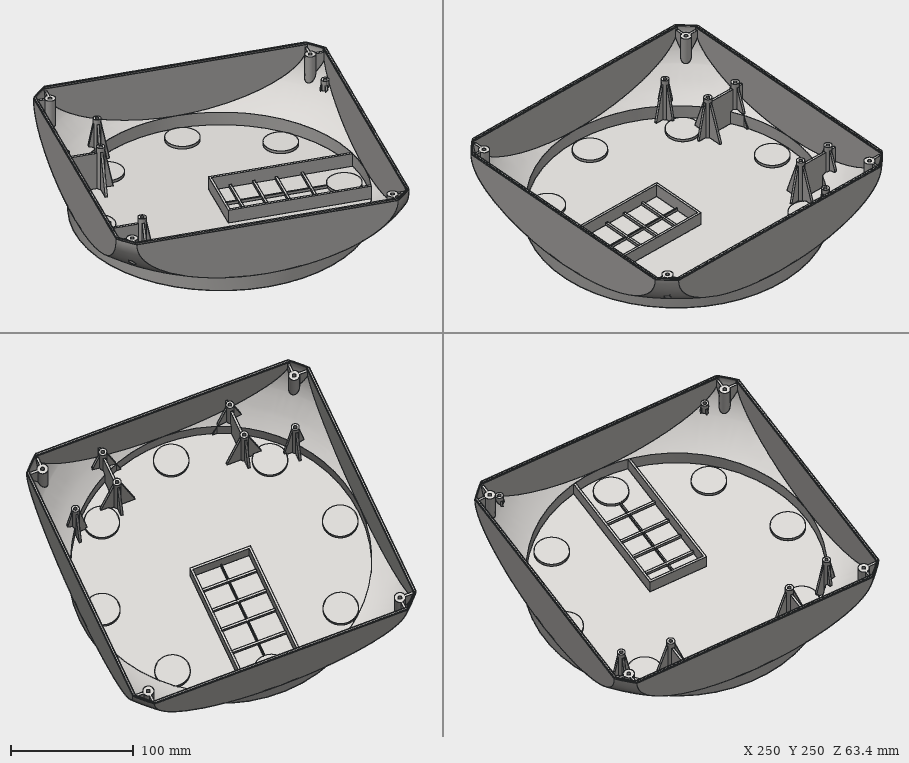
import cadquery as cq
import math

side = 250.0
half_side = side / 2
height = 63.4
wall = 2.5
floor_top = 2.5
foot_height = 13.1
dome_rim_radius = 167.5
dome_slope = math.radians(27)
corner_wall = 1.25

rim_height = 1.4
rim_inset = 0.4
rim_base = height - rim_height

pad_diameter = 29.0
pad_circle_radius = 105.0
pad_count = 8
pad_top = floor_top + 2.5

tray_half_width = 26.75
tray_front_y = -2.4
tray_wall = 2.0
tray_top = floor_top + 12.1
tray_rib_top = pad_top
tray_rib_width = 2.0
tray_rib_ys = (77.0, 54.7, 35.5, 15.4)
tray_spine_width = 1.2

corner_boss_place = 111.0
corner_boss_diameter = 9.2
corner_boss_top = 60.0
corner_hole_diameter = 3.0
corner_bore_diameter = 6.0
corner_bore_top = 45.0
corner_rib_width = 2.0

outer_boss_x = 97.0
outer_boss_ys = (119.3, -75.3)
outer_boss_diameter = 6.4
outer_boss_top = 42.5
outer_rib_reach = 10.5
outer_rib_top = 38.0

inner_boss_x = 56.1
inner_boss_back_y = -85.2
inner_boss_front_y = -115.2
inner_boss_diameter = 6.8
inner_boss_top = 42.0
inner_side_reach = 15.6
inner_back_reach = 10.6
inner_rib_top = 38.0
link_rib_top = 36.5

boss_hole_diameter = 2.8
boss_hole_depth = 6.0
boss_rib_width = 2.0


def block(x_min, x_max, y_min, y_max, z_min, z_max):
    """Box between the given limits."""
    box = cq.Workplane("XY").box(x_max - x_min, y_max - y_min, z_max - z_min, centered=False)
    return box.translate((x_min, y_min, z_min))


def square_block(half_width, z_min, z_max):
    """Square box centred on the Z axis."""
    return block(-half_width, half_width, -half_width, half_width, z_min, z_max)


def cylinder(x, y, diameter, z_min, z_max):
    """Upright cylinder between two heights."""
    return cq.Workplane("XY", origin=(x, y, z_min)).circle(diameter / 2).extrude(z_max - z_min)


def domed_body(foot_radius, rim_radius, bottom, shoulder):
    """Round foot up to `shoulder`, then a dome to the rim, cut square at the foot radius."""
    dome_start = (foot_radius, shoulder)
    dome_end = (rim_radius, rim_base)
    bend = (rim_radius, shoulder + (rim_radius - foot_radius) * math.tan(dome_slope))
    dome = (
        cq.Workplane("XZ")
        .moveTo(0, bottom)
        .lineTo(foot_radius, bottom)
        .lineTo(*dome_start)
        .bezier([dome_start, bend, dome_end])
        .lineTo(rim_radius, height)
        .lineTo(0, height)
        .close()
        .revolve(360, (0, 0, 0), (0, 1, 0))
    )
    return dome.intersect(square_block(foot_radius, bottom, height))


def make_shell(outer_body):
    """Hollow the body and set the rim back into a tongue."""
    cavity_half_side = half_side - wall
    cavity_rim_radius = dome_rim_radius - corner_wall
    cavity_shoulder = foot_height + wall * (1 - math.sin(dome_slope)) / math.cos(dome_slope)
    cavity = domed_body(cavity_half_side, cavity_rim_radius, floor_top, cavity_shoulder)

    tongue_outside = square_block(half_side - rim_inset, rim_base, height).intersect(
        cylinder(0, 0, 2 * (dome_rim_radius - rim_inset), rim_base, height)
    )
    outer_step = square_block(half_side, rim_base, height).cut(tongue_outside)
    inner_step = square_block(cavity_half_side + rim_inset, rim_base, height).intersect(
        cylinder(0, 0, 2 * cavity_rim_radius, rim_base, height)
    )
    return outer_body.cut(cavity).cut(outer_step).cut(inner_step)


def make_pads():
    """Ring of round pads, from the underside of the floor up."""
    return (
        cq.Workplane("XY")
        .polarArray(pad_circle_radius, 0, 360, pad_count)
        .circle(pad_diameter / 2)
        .extrude(pad_top)
    )


def make_tray():
    """Three-sided tray with low cross ribs and a spine that ends in the +Y pad."""
    inside_half_width = tray_half_width - tray_wall
    inside_front_y = tray_front_y + tray_wall
    tray = block(-tray_half_width, tray_half_width, tray_front_y, half_side, 0, tray_top)
    tray = tray.cut(block(-inside_half_width, inside_half_width, inside_front_y, half_side, 0, tray_top))
    half_rib = tray_rib_width / 2
    for y in tray_rib_ys:
        rib = block(-tray_half_width, tray_half_width, y - half_rib, y + half_rib, 0, tray_rib_top)
        tray = tray.union(rib)
    half_spine = tray_spine_width / 2
    return tray.union(block(-half_spine, half_spine, tray_front_y, pad_circle_radius, 0, tray_rib_top))


def make_corner_boss(x_side, y_side):
    """Corner boss with a straight rib to each of the two nearest walls."""
    x = x_side * corner_boss_place
    y = y_side * corner_boss_place
    half_rib = corner_rib_width / 2
    x_min, x_max = sorted((x, x_side * half_side))
    y_min, y_max = sorted((y, y_side * half_side))
    boss = cylinder(x, y, corner_boss_diameter, 0, corner_boss_top)
    boss = boss.union(block(x_min, x_max, y - half_rib, y + half_rib, 0, corner_boss_top))
    return boss.union(block(x - half_rib, x + half_rib, y_min, y_max, 0, corner_boss_top))


def make_corner_hole(x_side, y_side):
    """Screw hole through a corner boss and the wider bore below it."""
    x = x_side * corner_boss_place
    y = y_side * corner_boss_place
    hole = cylinder(x, y, corner_hole_diameter, 0, height)
    return hole.union(cylinder(x, y, corner_bore_diameter, 0, corner_bore_top))


def make_ribbed_boss(x, y, diameter, top, rib_top, reaches):
    """Boss with triangular ribs; `reaches` maps a rib's direction in degrees to its foot length."""
    boss = cylinder(x, y, diameter, 0, top)
    for direction, reach in reaches.items():
        rib = (
            cq.Workplane("XZ")
            .polyline([(0, floor_top), (reach, floor_top), (diameter / 2, rib_top), (0, rib_top)])
            .close()
            .extrude(boss_rib_width / 2, both=True)
            .rotate((0, 0, 0), (0, 0, 1), direction)
            .translate((x, y, 0))
        )
        boss = boss.union(rib)
    return boss


def make_boss_hole(x, y, top):
    """Blind screw hole in the top of a boss."""
    return cylinder(x, y, boss_hole_diameter, top - boss_hole_depth, top)


def make_outer_boss(x, y):
    """Boss with four equal triangular ribs."""
    reaches = {direction: outer_rib_reach for direction in (0, 90, 180, 270)}
    return make_ribbed_boss(x, y, outer_boss_diameter, outer_boss_top, outer_rib_top, reaches)


def make_inner_boss_pair(x):
    """Two bosses in line along Y and the straight rib that joins them to the -Y wall."""
    side_reaches = {0: inner_side_reach, 180: inner_side_reach}
    back_reaches = {90: inner_back_reach, **side_reaches}
    size = (inner_boss_diameter, inner_boss_top, inner_rib_top)
    back_boss = make_ribbed_boss(x, inner_boss_back_y, *size, back_reaches)
    front_boss = make_ribbed_boss(x, inner_boss_front_y, *size, side_reaches)
    half_rib = boss_rib_width / 2
    link_rib = block(x - half_rib, x + half_rib, -half_side, inner_boss_back_y, 0, link_rib_top)
    return back_boss.union(front_boss).union(link_rib)


outer_body = domed_body(half_side, dome_rim_radius, 0, foot_height)

fittings = make_pads().union(make_tray())
holes = cq.Workplane("XY")
for x_side in (-1, 1):
    for y_side in (-1, 1):
        fittings = fittings.union(make_corner_boss(x_side, y_side))
        holes = holes.union(make_corner_hole(x_side, y_side))

    outer_x = x_side * outer_boss_x
    for boss_y in outer_boss_ys:
        fittings = fittings.union(make_outer_boss(outer_x, boss_y))
        holes = holes.union(make_boss_hole(outer_x, boss_y, outer_boss_top))

    inner_x = x_side * inner_boss_x
    fittings = fittings.union(make_inner_boss_pair(inner_x))
    for boss_y in (inner_boss_back_y, inner_boss_front_y):
        holes = holes.union(make_boss_hole(inner_x, boss_y, inner_boss_top))

fittings = fittings.intersect(outer_body)
body = make_shell(outer_body).union(fittings).cut(holes)
result = cq.Workplane(body.solids().val())